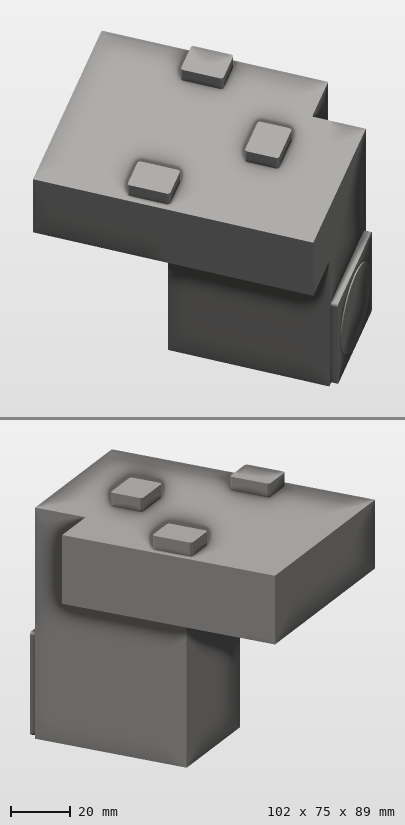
import cadquery as cq

length = 102.0
width = 75.0
height = 89.0

pad_size = 37.5
pad_thickness = 2.5
pad_center_height = 19.1
corner_radius = 1.0
disc_diameter = 32.0
disc_thickness = 0.45

plate_length = length - pad_thickness - disc_thickness
plate_thickness = 25.0
notch_length = 19.0

column_length = 57.0
column_width = 40.0
gusset_size = 6.3

block_long = 15.0
block_short = 12.0
block_height = 5.0
side_blocks_x = 40.0
side_blocks_y = 29.1
middle_block_x = 71.0

plate_top = height - block_height
plate_bottom = plate_top - plate_thickness
column_start = plate_length - column_length


def make_plate():
    """Rectangular plate whose +X, +Y corner is cut back to the column side."""
    notch_x = plate_length - notch_length
    notch_y = column_width / 2
    outline = [
        (0, -width / 2),
        (plate_length, -width / 2),
        (plate_length, notch_y),
        (notch_x, notch_y),
        (notch_x, width / 2),
        (0, width / 2),
    ]
    return cq.Workplane("XY", origin=(0, 0, plate_bottom)).polyline(outline).close().extrude(plate_thickness)


def make_column():
    """Column with a sloping gusset where it meets the plate."""
    outline = [
        (column_start, 0),
        (plate_length, 0),
        (plate_length, plate_bottom),
        (column_start - gusset_size, plate_bottom),
        (column_start, plate_bottom - gusset_size),
    ]
    return cq.Workplane("XZ").polyline(outline).close().extrude(column_width / 2, both=True)


def make_block(x, y, size_x, size_y):
    """Locating block with rounded upright edges."""
    block = cq.Workplane("XY", origin=(x, y, plate_top)).rect(size_x, size_y).extrude(block_height)
    return block.edges("|Z").fillet(corner_radius)


def make_side_pad():
    """Square pad on the +X face, carrying a thin concentric disc."""
    pad = (
        cq.Workplane("YZ", origin=(plate_length, 0, pad_center_height))
        .rect(pad_size, pad_size)
        .extrude(pad_thickness)
        .edges("|X")
        .fillet(corner_radius)
    )
    disc = (
        cq.Workplane("YZ", origin=(plate_length + pad_thickness, 0, pad_center_height))
        .circle(disc_diameter / 2)
        .extrude(disc_thickness)
    )
    return pad.union(disc)


result = make_plate().union(make_column()).union(make_side_pad())
for side in (-1, 1):
    result = result.union(make_block(side_blocks_x, side * side_blocks_y, block_long, block_short))
result = result.union(make_block(middle_block_x, 0, block_short, block_long))